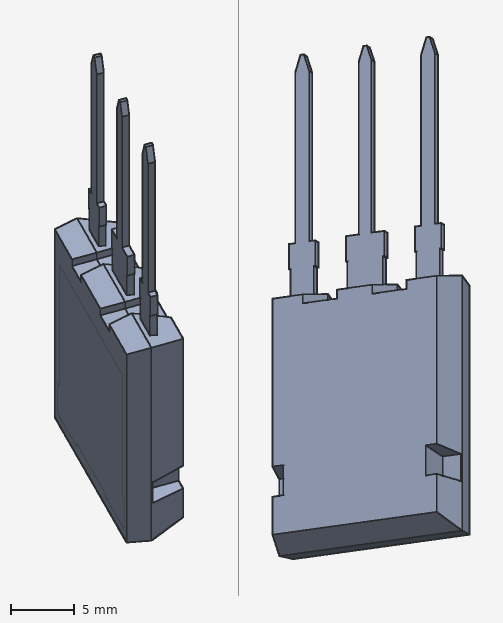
import cadquery as cq


overall_height = 40.65
body_width = 15.8
body_height = 21.02
body_depth = 5.0
parting_y = 2.0
front_inset = 0.265
back_inset = 0.793

gap_offset = 3.0
gap_width = 1.4
gap_depth = 0.75

notch_start_y = 2.1
notch_center_z = 5.15
notch_height = 2.25
notch_depth = 1.63
notch_growth = 0.12

pad_width = 13.35
pad_top_z = 17.73
pad_foot_width = 14.15
pad_foot_top_z = 4.55
pad_bottom_z = 1.2
pad_recess_width = 6.05
pad_recess_top_z = 1.6
pad_thickness = 0.4

lead_pitch = 5.45
lead_thickness = 0.6
lead_front_y = 2.45
lead_root_z = 16.25
lead_step_z = 23.15
shoulder_top_z = 25.2
tip_width = 0.3
outer_root_width = 2.05
outer_shoulder_width = 2.28
outer_pin_width = 1.2
outer_tip_start_z = 39.25
center_root_width = 3.1
center_shoulder_width = 3.35
center_pin_width = 1.1
center_tip_start_z = 39.45


def plane_at(y):
    """XZ plane at the given Y; positive extrusion runs towards the front (-Y)."""
    return cq.Workplane("XZ", origin=(0, y, 0))


def mirrored_outline(right_side):
    """Points down the right side, followed by their mirror image up the left side."""
    return right_side + [(-x, z) for x, z in reversed(right_side)]


def drafted_solid(start_outline, start_y, end_outline, end_y):
    """Solid with flat drafted walls between two matching XZ outlines."""
    return (
        plane_at(start_y)
        .polyline(start_outline)
        .close()
        .workplane(offset=start_y - end_y)
        .polyline(end_outline)
        .close()
        .loft(ruled=True)
    )


def body_outline(inset):
    """Body section with every wall moved inwards from the parting plane by the inset."""
    gap_inner = gap_offset - gap_width / 2 - inset
    gap_outer = gap_offset + gap_width / 2 + inset
    gap_floor = body_height - gap_depth - inset
    top = body_height - inset
    side = body_width / 2 - inset
    return mirrored_outline([
        (gap_inner, top),
        (gap_inner, gap_floor),
        (gap_outer, gap_floor),
        (gap_outer, top),
        (side, top),
        (side, inset),
    ])


def make_body():
    front = drafted_solid(body_outline(0), parting_y, body_outline(front_inset), 0)
    back = drafted_solid(body_outline(0), parting_y, body_outline(back_inset), body_depth)
    return front.union(back)


def notch_outline(side, growth):
    """Rectangle across one long side, with its floor and ends moved outwards by the growth."""
    floor_x = side * (body_width / 2 - notch_depth - growth)
    open_x = side * body_width / 2
    bottom = notch_center_z - notch_height / 2 - growth
    top = notch_center_z + notch_height / 2 + growth
    return [(floor_x, bottom), (open_x, bottom), (open_x, top), (floor_x, top)]


def make_side_notch(side):
    """Drafted cutter, open to the back and to one long side (+1 or -1)."""
    return drafted_solid(notch_outline(side, 0), notch_start_y, notch_outline(side, notch_growth), body_depth)


def make_pad():
    outline = mirrored_outline([
        (pad_width / 2, pad_top_z),
        (pad_width / 2, pad_foot_top_z),
        (pad_foot_width / 2, pad_foot_top_z),
        (pad_foot_width / 2, pad_bottom_z),
        (pad_recess_width / 2, pad_bottom_z),
        (pad_recess_width / 2, pad_recess_top_z),
    ])
    return plane_at(pad_thickness).polyline(outline).close().extrude(pad_thickness)


def make_lead(x, root_width, shoulder_width, pin_width, tip_start_z):
    """Flat lead with a wide shoulder, a slim pin and a tapered tip."""
    outline = mirrored_outline([
        (tip_width / 2, overall_height),
        (pin_width / 2, tip_start_z),
        (pin_width / 2, shoulder_top_z),
        (shoulder_width / 2, shoulder_top_z),
        (shoulder_width / 2, lead_step_z),
        (root_width / 2, lead_step_z),
        (root_width / 2, lead_root_z),
    ])
    lead = plane_at(lead_front_y + lead_thickness).polyline(outline).close().extrude(lead_thickness)
    return lead.translate((x, 0, 0))


result = make_body()

for side in (-1, 1):
    result = result.cut(make_side_notch(side))

for x in (-lead_pitch, lead_pitch):
    outer_lead = make_lead(x, outer_root_width, outer_shoulder_width, outer_pin_width, outer_tip_start_z)
    result = result.union(outer_lead)

center_lead = make_lead(0, center_root_width, center_shoulder_width, center_pin_width, center_tip_start_z)
result = result.union(center_lead)

result = result.union(make_pad(), clean=False)